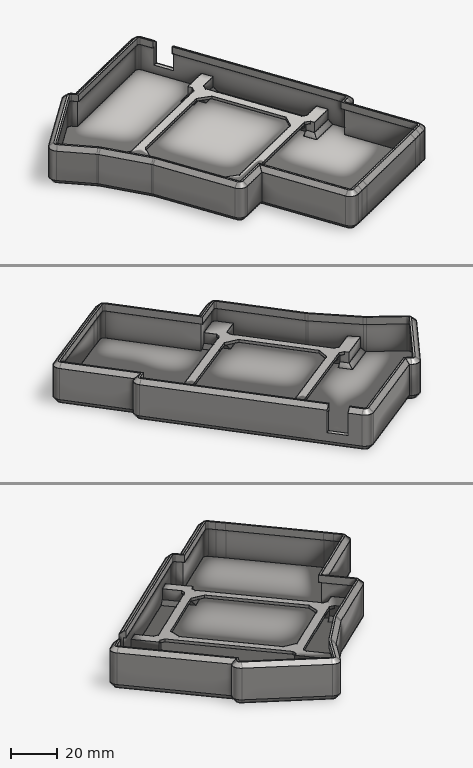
import cadquery as cq
import math


height = 19.0
floor_thickness = 2.2
wall_thickness = 2.1
corner_radius = 4.0
edge_inset = 2.2
edge_rise = 2.0

lip_thickness = 3.1
lip_height = 3.5

CONVEX = "convex"
SHALLOW = "shallow"
SHARP = "sharp"

left = -64.4
right = 81.6
back = 44.4
front = -44.8
back_step_x = 43.8
back_step_y = 39.3
front_step_x = 36.6
front_step_y = -28.0
back_step_slope_drop = 0.1
front_bend_x = -7.8
skew_bend_x = -32.3

skew = math.radians(20)
skew_corner = (-52.9, -56.2)
skew_side_length = 47.0

bulge = 0.07
bulge_run = 4.5
bulge_back_y = 31.8
bulge_front_y = -16.0

notch_left = -54.1
notch_width = 9.4
notch_bottom = 6.4

window_x = 46.0
window_y = 55.9
window_chamfer = 5.0
frame_border = 4.0
frame_thickness = 1.3
frame_top = 9.1

post_inner_x = 25.3
post_outer_x = 31.0
post_inner_y = 30.0
post_notch = 3.7
gusset = 1.8
skirt_width = 2.2
skirt_rise = 1.8


def tray_outline():
    """Closed outline of the tray as (corner, bend) pairs, clockwise."""
    skew_x, skew_y = skew_corner
    side_end = (skew_x - skew_side_length * math.sin(skew), skew_y + skew_side_length * math.cos(skew))
    left_step = (left, side_end[1] + (left - side_end[0]) * math.tan(skew))
    skew_bend = (skew_bend_x, skew_y + (skew_bend_x - skew_x) * math.tan(skew))
    shoulder = right - bulge
    return [
        ((left, back), CONVEX),
        ((back_step_x, back), CONVEX),
        ((back_step_x, back_step_y), SHARP),
        ((shoulder, back_step_y - back_step_slope_drop), CONVEX),
        ((shoulder, bulge_back_y), SHARP),
        ((right, bulge_back_y - bulge_run), SHARP),
        ((right, bulge_front_y), SHARP),
        ((shoulder, bulge_front_y - bulge_run), SHARP),
        ((shoulder, front_step_y), CONVEX),
        ((front_step_x, front_step_y), SHARP),
        ((front_step_x, front), CONVEX),
        ((front_bend_x, front), SHALLOW),
        (skew_bend, SHALLOW),
        (skew_corner, CONVEX),
        (side_end, CONVEX),
        (left_step, SHARP),
    ]


def inset_corner(before, corner, after, inset):
    """Corner of the outline once both of its sides have moved inwards."""
    in_angle = math.atan2(corner[1] - before[1], corner[0] - before[0])
    out_angle = math.atan2(after[1] - corner[1], after[0] - corner[0])
    half_turn = (out_angle - in_angle) / 2
    inward = in_angle + half_turn - math.pi / 2
    reach = inset / math.cos(half_turn)
    return (corner[0] + reach * math.cos(inward), corner[1] + reach * math.sin(inward))


def outline_prism(inset, bottom, top):
    """Upright prism whose sides lie a given distance inside the tray outline."""
    outline = tray_outline()
    corners = [corner for corner, _ in outline]
    points = [
        inset_corner(corners[i - 1], corners[i], corners[(i + 1) % len(corners)], inset)
        for i in range(len(corners))
    ]
    prism = cq.Workplane("XY", origin=(0, 0, bottom)).polyline(points).close().extrude(top - bottom)
    for (x, y), (_, bend) in zip(points, outline):
        radius = {CONVEX: corner_radius - inset, SHALLOW: corner_radius + inset, SHARP: 0}[bend]
        if radius > 0:
            middle = (x, y, (bottom + top) / 2)
            prism = prism.edges("|Z").edges(cq.selectors.NearestToPointSelector(middle)).fillet(radius)
    return prism


def make_shell():
    """Chamfered tray, hollowed below the lip and opened through it."""
    body = outline_prism(0, 0, height).faces("<Z or >Z").edges().chamfer(edge_rise, edge_inset)
    body = body.cut(outline_prism(wall_thickness, floor_thickness, height - lip_height))
    return body.cut(outline_prism(lip_thickness, height - lip_height, height))


def make_notch():
    """Cutter for the cable notch, deeper than the lip and open at the top."""
    depth = 2 * lip_thickness
    cutter = cq.Workplane("XY").box(notch_width, depth, height, centered=(False, True, False))
    return cutter.translate((notch_left, back - lip_thickness / 2, notch_bottom))


def mirrored(points, side_x, side_y):
    """Points of the back right quarter moved to the quarter with the given signs."""
    return [(side_x * x, side_y * y) for x, y in points]


def make_post(side_x, side_y):
    """One post with a sloping skirt, running out past the wall and notched below the frame corner."""
    notch_x = post_inner_x - skirt_width + post_notch
    notch_y = post_inner_y - skirt_width + post_notch

    def section(grow):
        inner_x = post_inner_x - grow
        outer_x = post_outer_x + grow
        inner_y = post_inner_y - grow
        outer_y = 2 * post_inner_y
        corners = [
            (notch_x, inner_y),
            (outer_x, inner_y),
            (outer_x, outer_y),
            (inner_x, outer_y),
            (inner_x, notch_y),
            (notch_x, notch_y),
        ]
        return mirrored(corners, side_x, side_y)

    base = cq.Workplane("XY", origin=(0, 0, floor_thickness))
    post = base.polyline(section(0)).close().extrude(frame_top - floor_thickness)
    skirt = (
        base.polyline(section(skirt_width))
        .close()
        .workplane(offset=skirt_rise)
        .polyline(section(0))
        .close()
        .loft(ruled=True)
    )
    return post.union(skirt)


def make_frame():
    """Thin plate around the window, joined to the posts by slanting corner webs."""
    plate_x = window_x + 2 * frame_border
    plate_y = window_y + 2 * frame_border
    bottom = frame_top - frame_thickness
    plate = cq.Workplane("XY", origin=(0, 0, bottom)).rect(plate_x, plate_y).extrude(frame_thickness)
    window = cq.Workplane("XY", origin=(0, 0, bottom)).rect(window_x, window_y).extrude(frame_thickness)
    frame = plate.cut(window.edges("|Z").chamfer(window_chamfer))
    for side_x in (-1, 1):
        for side_y in (-1, 1):
            gusset_web = [
                (plate_x / 2, post_inner_y - gusset),
                (plate_x / 2 + gusset, post_inner_y),
                (post_inner_x, plate_y / 2 + gusset),
                (post_inner_x - gusset, plate_y / 2),
            ]
            corners = mirrored(gusset_web, side_x, side_y)
            web = cq.Workplane("XY", origin=(0, 0, bottom)).polyline(corners).close().extrude(frame_thickness)
            frame = frame.union(web)
    return frame


def make_corner_fill():
    """Block that widens the front right post, and its skirt, as far as the stepped wall."""
    run = front_step_x - post_outer_x
    profile = [
        (-post_inner_y + skirt_width, floor_thickness),
        (-post_inner_y, floor_thickness + skirt_rise),
        (-post_inner_y, frame_top),
        (front, frame_top),
        (front, floor_thickness),
    ]
    return cq.Workplane("YZ", origin=(post_outer_x, 0, 0)).polyline(profile).close().extrude(run)


shell = make_shell()
supports = make_frame()
for side_x in (-1, 1):
    for side_y in (-1, 1):
        supports = supports.union(make_post(side_x, side_y))
supports = supports.union(make_corner_fill())
supports = supports.intersect(outline_prism(wall_thickness / 2, floor_thickness, height))
result = shell.union(supports).cut(make_notch()).clean()